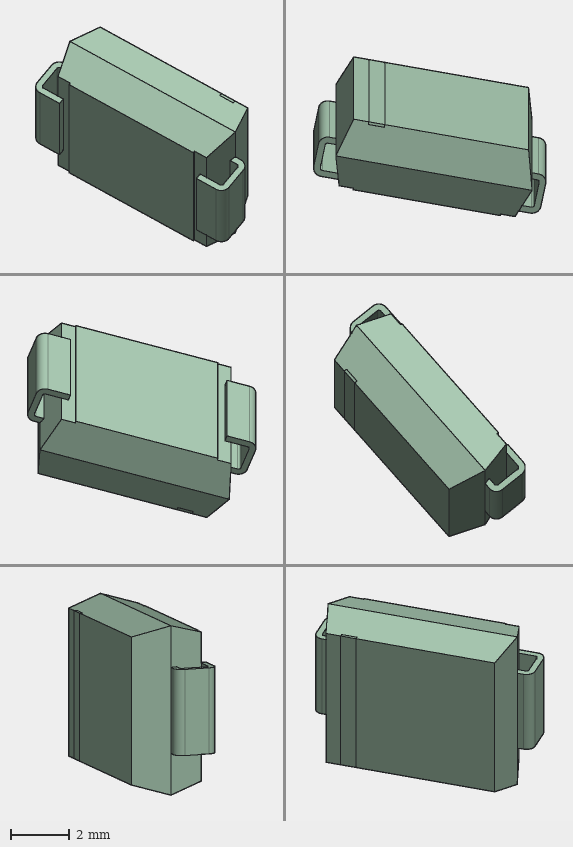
import cadquery as cq

housing_length = 6.86
housing_width = 5.91
half_depth = 1.31
taper_inset = 0.37
face_length = housing_length - 2 * taper_inset
face_width = housing_width - 2 * taper_inset

pad_length = 5.145
step_depth = 0.06

lead_span = 7.94
lead_drop = 1.51
lead_width = 3.0
lead_thickness = 0.23
lead_outer_radius = 0.32
lead_inner_radius = lead_outer_radius - lead_thickness
foot_length = 1.135

band_start = 1.97
band_length = 0.555
band_depth = 0.1


def make_band():
    return cq.Workplane("XY").box(band_length, band_depth, face_width).translate(
        (band_start + band_length / 2, half_depth - band_depth / 2, 0)
    )


def make_housing_half(direction):
    """Taper from the parting plane to the flat face at Y = direction * half_depth."""
    return (
        cq.Workplane("XZ")
        .rect(housing_length, housing_width)
        .workplane(offset=-direction * half_depth)
        .rect(face_length, face_width)
        .loft(ruled=True)
    )


def make_housing(band):
    housing = make_housing_half(1).union(make_housing_half(-1))
    step_length = (housing_length - pad_length) / 2
    for side in (-1, 1):
        step = cq.Workplane("XY").box(step_length, step_depth, housing_width)
        step_x = side * (pad_length + step_length) / 2
        housing = housing.cut(step.translate((step_x, -half_depth + step_depth / 2, 0)))
    return housing.cut(band)


def make_right_lead(housing):
    """Bend a strip around the +X end; its upper arm stops against the housing wall."""
    outer_x = lead_span / 2
    inner_x = outer_x - lead_thickness
    arm_x = housing_length / 2 - taper_inset
    foot_x = outer_x - foot_length
    arm_bottom = -lead_thickness
    foot_top = -lead_drop + lead_thickness

    lead = (
        cq.Workplane("XY")
        .workplane(offset=-lead_width / 2)
        .moveTo(arm_x, 0)
        .lineTo(outer_x - lead_outer_radius, 0)
        .radiusArc((outer_x, -lead_outer_radius), lead_outer_radius)
        .lineTo(outer_x, -lead_drop + lead_outer_radius)
        .radiusArc((outer_x - lead_outer_radius, -lead_drop), lead_outer_radius)
        .lineTo(foot_x, -lead_drop)
        .lineTo(foot_x, foot_top)
        .lineTo(inner_x - lead_inner_radius, foot_top)
        .radiusArc((inner_x, foot_top + lead_inner_radius), -lead_inner_radius)
        .lineTo(inner_x, arm_bottom - lead_inner_radius)
        .radiusArc((inner_x - lead_inner_radius, arm_bottom), -lead_inner_radius)
        .lineTo(arm_x, arm_bottom)
        .close()
        .extrude(lead_width)
    )
    return lead.cut(housing)


band = make_band()
housing = make_housing(band)
right_lead = make_right_lead(housing)
leads = [right_lead.rotate((0, 0, 0), (0, 1, 0), angle) for angle in (0, 180)]

result = cq.Compound.makeCompound(
    [housing.val(), band.val(), *[lead.val() for lead in leads]]
)